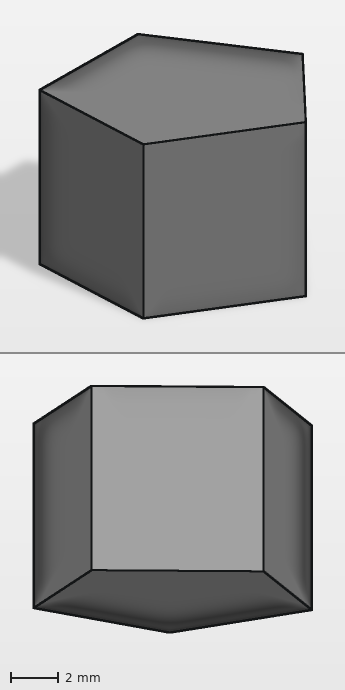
import cadquery as cq
import math

side_count = 5
width_y = 11.72
height = 8.0
turn_angle = -4.3

corner_angles = [math.radians(turn_angle + i * 360 / side_count) for i in range(side_count)]

corner_sines = [math.sin(angle) for angle in corner_angles]
corner_radius = width_y / (max(corner_sines) - min(corner_sines))

corners = [
    (corner_radius * math.cos(angle), corner_radius * math.sin(angle))
    for angle in corner_angles
]

result = cq.Workplane("XY").polyline(corners).close().extrude(height)